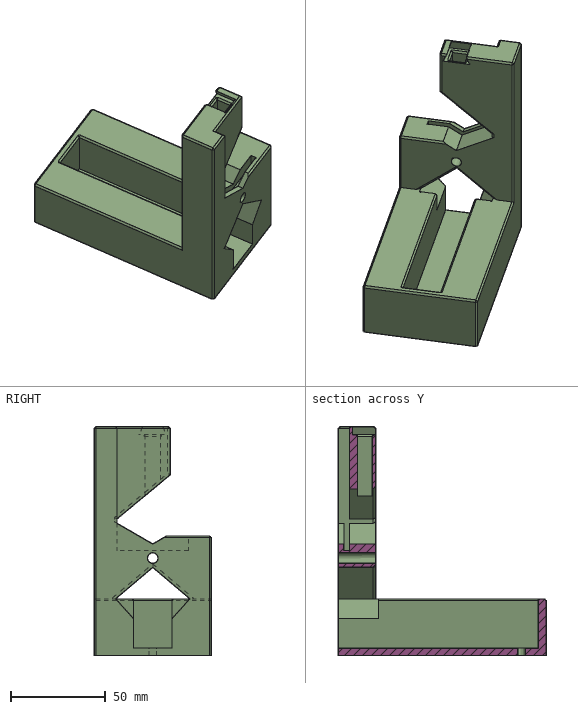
import cadquery as cq
import math

length = 110.0
width = 62.0
height = 121.0
base_height = 30.0
column_thickness = 20.0
edge_chamfer = 1.0
notch_chamfer = 1.5

back_x = length / 2
front_x = -back_x
column_x = back_x - column_thickness
side_y = width / 2

shoulder_height = 63.3
arm_y = 9.3
arm_corner_z = 95.6
throat_y = -18.9
throat_z = 72.2

groove_bottom_z = 59.0
groove_angle = math.radians(30)
throat_bottom_z = groove_bottom_z - throat_y * math.tan(groove_angle)

diamond_top_z = 46.6
diamond_half_width = 19.6
diamond_lower_angle = math.radians(48)
diamond_lead = 1.5

slot_half_width = 10.2
slot_end_wall = 4.4
slot_floor = 4.0
base_hole_diameter = 4.0
base_hole_x = -42.0

cross_hole_diameter = 5.5
cross_hole_z = 51.5

relief_x = 49.1
blade_thickness = 2.9
blade_half_width = -throat_y
blade_floor_z = 55.7

dovetail_depth = 4.2
dovetail_top_half_width = 5.3
dovetail_bottom_half_width = 7.1
dovetail_end_x = 47.3
well_x = (37.0, 44.8)
well_half_width = 4.1


def box(x_range, y_range, z_range):
    """Box between two limits along each axis."""
    sizes = [limits[1] - limits[0] for limits in (x_range, y_range, z_range)]
    corner = (x_range[0], y_range[0], z_range[0])
    return cq.Workplane("XY").box(*sizes, centered=False).translate(corner)


def prism(points, x_start, x_end):
    """Closed (Y, Z) outline extruded along X."""
    return cq.Workplane("YZ", origin=(x_start, 0, 0)).polyline(points).close().extrude(x_end - x_start)


def rim_bevel(x_range, y_range, top_z):
    """Cutter that bevels the upper rim of a rectangular pocket."""
    center_x = sum(x_range) / 2
    center_y = sum(y_range) / 2
    plane = cq.Workplane("XY", origin=(center_x, center_y, top_z - edge_chamfer))
    outline = plane.rect(x_range[1] - x_range[0], y_range[1] - y_range[0])
    return outline.extrude(edge_chamfer, taper=-45)


def make_base():
    base = box((front_x, back_x), (-side_y, side_y), (0, base_height))
    return base.edges("|Z or >Z").chamfer(edge_chamfer)


def make_column():
    shoulder = box((column_x, back_x), (-side_y, side_y), (0, shoulder_height))
    shoulder = shoulder.edges("|Z or >Z").chamfer(edge_chamfer)
    arm_outline = [
        (-side_y, 0),
        (-side_y, height),
        (arm_y, height),
        (arm_y, arm_corner_z),
        (throat_y, throat_z),
        (throat_y, throat_bottom_z),
        (0, groove_bottom_z),
        (0, 0),
    ]
    arm = prism(arm_outline, column_x, back_x)
    arm = arm.cut(box((relief_x, back_x), (throat_y, arm_y), (throat_bottom_z, height)))
    arm = arm.edges("(|Z and <Y) or >Z").chamfer(edge_chamfer)
    overhang = cq.selectors.BoxSelector(
        (column_x - edge_chamfer, throat_y - edge_chamfer, throat_bottom_z),
        (column_x + edge_chamfer, arm_y + edge_chamfer, height - edge_chamfer),
    )
    arm = arm.edges(overhang).chamfer(notch_chamfer)
    return shoulder.union(arm)


def make_groove():
    shoulder_y = (shoulder_height - groove_bottom_z) / math.tan(groove_angle)
    points = [
        (0, groove_bottom_z),
        (shoulder_y, shoulder_height),
        (throat_y, throat_z),
        (throat_y, throat_bottom_z),
    ]
    return prism(points, column_x, back_x)


def make_diamond():
    lower_drop = diamond_half_width * math.tan(diamond_lower_angle)
    points = [
        (0, diamond_top_z),
        (diamond_half_width, base_height),
        (0, base_height - lower_drop),
        (-diamond_half_width, base_height),
    ]
    opening = prism(points, column_x - diamond_lead, back_x)
    rise = diamond_top_z - base_height
    face_length = math.hypot(rise, diamond_half_width)
    top_growth = notch_chamfer * face_length / diamond_half_width
    side_growth = notch_chamfer * face_length / rise

    def upper_triangle(up, out):
        return [
            (0, diamond_top_z + up),
            (diamond_half_width + out, base_height),
            (-diamond_half_width - out, base_height),
        ]

    bevel = (
        cq.Workplane("YZ", origin=(column_x, 0, 0))
        .polyline(upper_triangle(top_growth, side_growth)).close()
        .workplane(offset=notch_chamfer)
        .polyline(upper_triangle(0, 0)).close()
        .loft(ruled=True)
    )
    return opening.union(bevel)


def make_slot():
    slot_y = (-slot_half_width, slot_half_width)
    slot_start = front_x + slot_end_wall
    slot = box((slot_start, back_x), slot_y, (slot_floor, base_height))
    rim = rim_bevel((slot_start, column_x - edge_chamfer), slot_y, base_height)
    hole = cq.Workplane("XY").center(base_hole_x, 0).circle(base_hole_diameter / 2).extrude(base_height)
    return slot.union(rim).union(hole)


def make_blade_pocket():
    blade_x = (relief_x, relief_x + blade_thickness)
    return box(blade_x, (-blade_half_width, blade_half_width), (blade_floor_z, throat_z))


def make_top_seat():
    seat_z = height - dovetail_depth
    outline = [
        (-dovetail_top_half_width, height),
        (dovetail_top_half_width, height),
        (dovetail_bottom_half_width, seat_z),
        (-dovetail_bottom_half_width, seat_z),
    ]
    dovetail = prism(outline, column_x, dovetail_end_x)
    well_y = (-well_half_width, well_half_width)
    well = box(well_x, well_y, (throat_z, seat_z))
    return dovetail.union(well).union(rim_bevel(well_x, well_y, seat_z))


def make_cross_hole():
    plane = cq.Workplane("YZ", origin=(column_x, 0, cross_hole_z))
    return plane.circle(cross_hole_diameter / 2).extrude(column_thickness)


result = make_base().union(make_column())
for cutter in (
    make_groove(),
    make_diamond(),
    make_slot(),
    make_blade_pocket(),
    make_top_seat(),
    make_cross_hole(),
):
    result = result.cut(cutter)